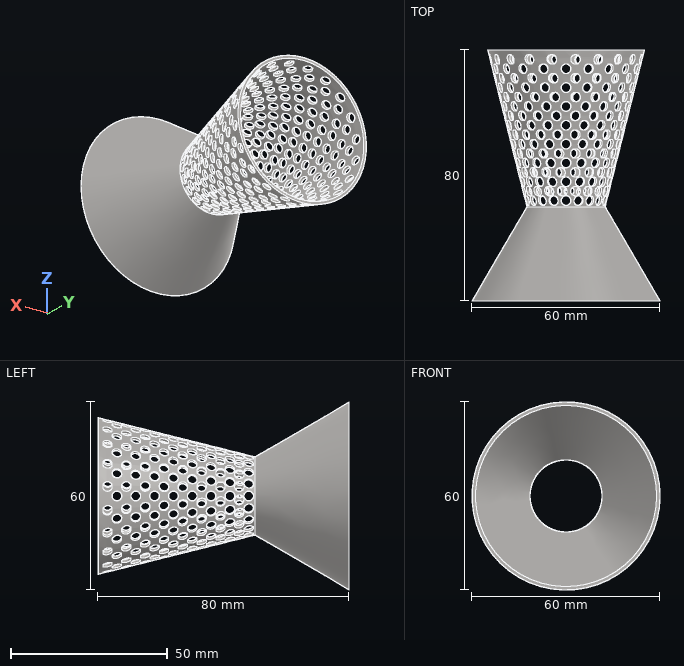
import cadquery as cq
import math

total_length = 80.0
funnel_length = 30.0
basket_length = total_length - funnel_length
mouth_diameter = 60.0
basket_diameter = 50.0
mouth_radius = mouth_diameter / 2
basket_radius = basket_diameter / 2
neck_radius = basket_radius / 2
both_walls = 2.0
wall = both_walls / 2

row_count = 16
holes_per_row = 20
first_row_from_neck = 2.0
row_pitch = (basket_length - first_row_from_neck) / row_count
hole_diameter = row_pitch
stagger_offset = row_pitch
drill_inside = 2.8
drill_outside = 1.6

funnel_slope = (mouth_radius - neck_radius) / funnel_length
basket_slope = (basket_radius - neck_radius) / basket_length
funnel_radial_wall = wall * math.hypot(1, funnel_slope)
basket_radial_wall = wall * math.hypot(1, basket_slope)

inner_neck_y = (basket_radial_wall - funnel_radial_wall) / (funnel_slope + basket_slope)
inner_neck_radius = neck_radius - basket_radial_wall + basket_slope * inner_neck_y


def double_cone():
    """Revolved thin wall; the neck lies in the plane Y = 0 and the funnel opens to -Y."""
    return (
        cq.Workplane("XY")
        .moveTo(mouth_radius, -funnel_length)
        .lineTo(neck_radius, 0)
        .lineTo(basket_radius, basket_length)
        .lineTo(basket_radius - basket_radial_wall, basket_length)
        .lineTo(inner_neck_radius, inner_neck_y)
        .lineTo(mouth_radius - funnel_radial_wall, -funnel_length)
        .close()
        .revolve(360, (0, 0, 0), (0, 1, 0))
    )


def row_drills(row):
    """Cylinders for one ring of holes, each pointing outward through one wall."""
    y = first_row_from_neck + row * row_pitch
    outer_radius = neck_radius + basket_slope * y
    offset = stagger_offset * (row % 2)
    drill = cq.Solid.makeCylinder(
        hole_diameter / 2,
        drill_inside + drill_outside,
        cq.Vector(offset, y, outer_radius - drill_inside),
        cq.Vector(0, 0, 1),
    )
    step = 360 / holes_per_row
    return [
        drill.rotate(cq.Vector(0, 0, 0), cq.Vector(0, 1, 0), index * step)
        for index in range(holes_per_row)
    ]


drills = []
for row in range(row_count):
    drills.extend(row_drills(row))

result = double_cone().cut(cq.Workplane(cq.Compound.makeCompound(drills)))